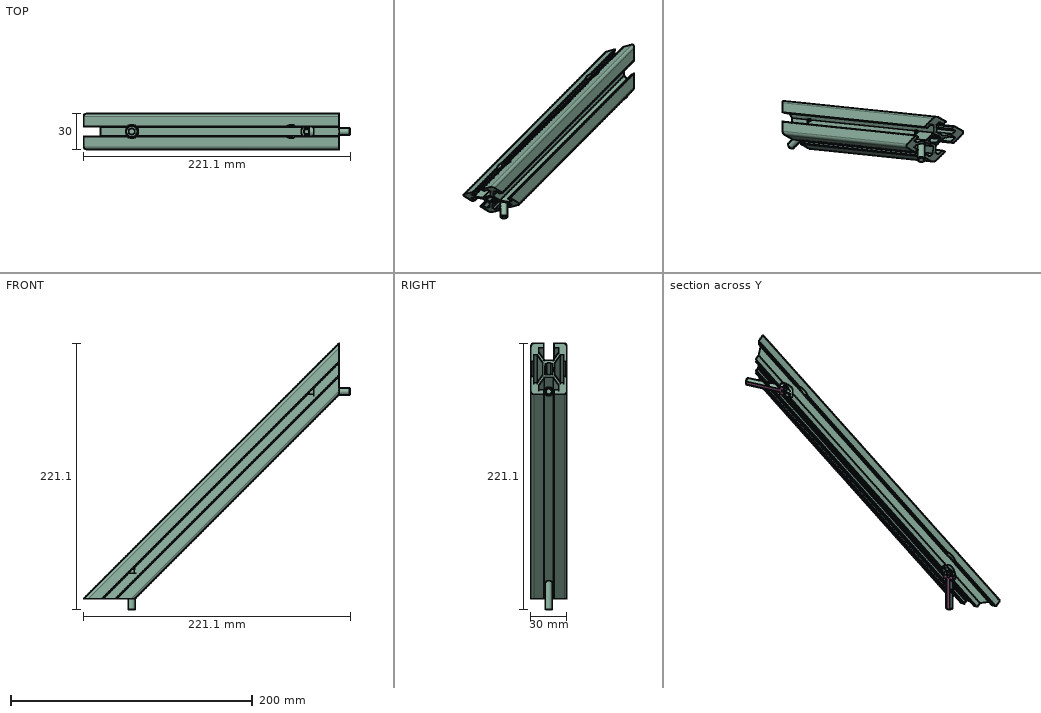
import cadquery as cq
import math

longest_side = 221.1
screw_projection = 9.0
bar_span = longest_side - screw_projection

profile_width = 30.0
corner_radius = 2.5
core_bore_diameter = 7.0
core_square_width = 6.2

slot_opening = 8.2
lip_land = 0.9
lip_relief_width = 8.6
lip_thickness = 2.7
cavity_width = 16.4
floor_width = 7.3
slot_depth = 10.0

screw_inset = 40.0
seat_height = 21.2
thread_diameter = 6.0
thread_chamfer = 0.7
head_diameter = 10.0
head_height = 4.0
head_chamfer = 0.5
socket_across_flats = 4.9
socket_depth = 2.0

clearance_diameter = 7.0
counterbore_diameter = 11.0

half_width = profile_width / 2

section_plane = cq.Plane(
    origin=(half_width / math.sqrt(2), 0, -half_width / math.sqrt(2)),
    xDir=(0, 1, 0),
    normal=(1, 0, 1),
)
bar_direction = cq.selectors.ParallelDirSelector(section_plane.zDir)


def along_bar(sketch):
    """Extrude a section both ways, well past the mitred ends."""
    return sketch.extrude(2 * bar_span, both=True)


def slot_cutter(angle):
    """T-slot in one long face, turned about the bar axis."""
    land_level = half_width - lip_land
    lip_level = half_width - lip_thickness
    floor_level = half_width - slot_depth
    flank_level = floor_level + (cavity_width - floor_width) / 2
    right_side = [
        (slot_opening / 2, half_width),
        (slot_opening / 2, land_level),
        (lip_relief_width / 2, land_level),
        (lip_relief_width / 2, lip_level),
        (cavity_width / 2, lip_level),
        (cavity_width / 2, flank_level),
        (floor_width / 2, floor_level),
    ]
    left_side = [(-x, y) for x, y in reversed(right_side)]
    section = cq.Workplane(section_plane).transformed(rotate=(0, 0, angle))
    return along_bar(section.polyline(right_side + left_side).close())


def core_cutter():
    """Round core bore with four corner grooves, formed by a square over the circle."""
    section = cq.Workplane(section_plane)
    bore = along_bar(section.circle(core_bore_diameter / 2))
    grooves = along_bar(section.rect(core_square_width, core_square_width))
    return bore.union(grooves)


def screw_hole():
    """Stepped hole along Z with its seat at the origin, counterbored upwards."""
    clearance = cq.Workplane().circle(clearance_diameter / 2).extrude(-seat_height)
    counterbore = cq.Workplane().circle(counterbore_diameter / 2).extrude(bar_span)
    return counterbore.union(clearance)


def make_screw():
    """Cap screw along Z with its head seat at the origin and its thread pointing down."""
    thread = cq.Workplane().circle(thread_diameter / 2).extrude(-(seat_height + screw_projection))
    thread = thread.faces("<Z").chamfer(thread_chamfer)
    head = cq.Workplane().circle(head_diameter / 2).extrude(head_height)
    head = head.faces(">Z").chamfer(head_chamfer)
    socket = (
        cq.Workplane()
        .workplane(offset=head_height)
        .polygon(6, socket_across_flats, circumscribed=True)
        .extrude(-socket_depth)
    )
    return head.union(thread).cut(socket)


def at_lower_end(body):
    """Place an upright body so that it leaves through the bottom mitre face."""
    return body.translate((screw_inset, 0, seat_height))


def at_upper_end(body):
    """Turn an upright body so that it leaves through the +X mitre face."""
    turned = body.rotate((0, 0, 0), (0, 1, 0), -90)
    return turned.translate((bar_span - seat_height, 0, bar_span - screw_inset))


screw_placements = (at_lower_end, at_upper_end)


def make_bar():
    bar = along_bar(cq.Workplane(section_plane).rect(profile_width, profile_width))
    bar = bar.edges(bar_direction).fillet(corner_radius)
    for angle in (0, 90, 180, 270):
        bar = bar.cut(slot_cutter(angle))
    bar = bar.cut(core_cutter())
    mitre_box = cq.Workplane().box(bar_span, profile_width, bar_span, centered=(False, True, False))
    bar = bar.intersect(mitre_box)
    for place in screw_placements:
        bar = bar.cut(place(screw_hole()))
    return bar


bar = make_bar()
screws = [place(make_screw()) for place in screw_placements]

result = cq.Compound.makeCompound([bar.val(), *(screw.val() for screw in screws)])